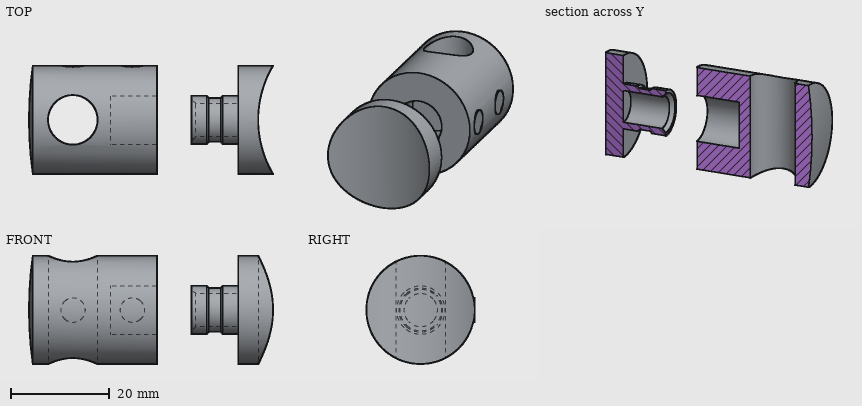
import cadquery as cq
import math

body_diameter = 22.0
body_radius = body_diameter / 2

dome_height = 0.8
housing_end_x = 26.0
cross_hole_x = 8.9
cross_hole_diameter = 10.0

pad_diameter = 4.95
rear_pad_x = 20.95

stem_start_x = 32.95
disc_start_x = 42.45
saddle_end_x = 49.55
stem_diameter = 9.8
groove_diameter = 8.9
groove_start_x = 36.55
groove_end_x = 39.35
groove_chamfer = (stem_diameter - groove_diameter) / 2
stem_bore_diameter = 6.75
bore_chamfer = 0.85
seat_depth = 3.0

stem_length = disc_start_x - stem_start_x
seat_radius = (body_radius**2 + seat_depth**2) / (2 * seat_depth)


def x_cylinder(diameter, start_x, end_x):
    """Cylinder on the X axis between two stations."""
    return cq.Workplane("YZ", origin=(start_x, 0, 0)).circle(diameter / 2).extrude(end_x - start_x)


def side_pad(x):
    """Flat-topped round pad, rooted in the solid wall between the socket and the +Y side."""
    root_y = (stem_diameter + body_diameter) / 4
    return (
        cq.Workplane("XZ", origin=(x, root_y, 0))
        .circle(pad_diameter / 2)
        .extrude(root_y - body_radius)
    )


def make_housing():
    """Domed cylinder with a cross hole, two side pads and an end socket for the stem."""
    dome_radius = (body_radius**2 + dome_height**2) / (2 * dome_height)
    half_angle = math.asin(body_radius / dome_radius) / 2
    arc_middle = (dome_radius * (1 - math.cos(half_angle)), dome_radius * math.sin(half_angle))
    housing = (
        cq.Workplane("XY")
        .moveTo(0, 0)
        .threePointArc(arc_middle, (dome_height, body_radius))
        .lineTo(housing_end_x, body_radius)
        .lineTo(housing_end_x, 0)
        .close()
        .revolve(360, (0, 0, 0), (1, 0, 0))
    )
    cross_hole = (
        cq.Workplane("XY", origin=(cross_hole_x, 0, 0))
        .circle(cross_hole_diameter / 2)
        .extrude(body_diameter, both=True)
    )
    housing = housing.cut(cross_hole)
    housing = housing.cut(x_cylinder(stem_diameter, housing_end_x - stem_length, housing_end_x))
    for pad_x in (cross_hole_x, rear_pad_x):
        housing = housing.union(side_pad(pad_x))
    return housing


def make_saddle():
    """Grooved hollow stem on a disc whose far face is a cylindrical seat."""
    stem_radius = stem_diameter / 2
    groove_radius = groove_diameter / 2
    saddle = (
        cq.Workplane("XY")
        .polyline([
            (stem_start_x, 0),
            (stem_start_x, stem_radius),
            (groove_start_x - groove_chamfer, stem_radius),
            (groove_start_x, groove_radius),
            (groove_end_x - groove_chamfer, groove_radius),
            (groove_end_x, stem_radius),
            (disc_start_x, stem_radius),
            (disc_start_x, body_radius),
            (saddle_end_x, body_radius),
            (saddle_end_x, 0),
        ])
        .close()
        .revolve(360, (0, 0, 0), (1, 0, 0))
    )
    seat_axis_x = saddle_end_x - seat_depth + seat_radius
    seat = (
        cq.Workplane("XY", origin=(seat_axis_x, 0, 0))
        .circle(seat_radius)
        .extrude(body_diameter, both=True)
    )
    stem_bore = x_cylinder(stem_bore_diameter, stem_start_x, disc_start_x)
    bore_mouth = (
        cq.Workplane("YZ", origin=(stem_start_x, 0, 0))
        .circle(stem_bore_diameter / 2 + bore_chamfer)
        .workplane(offset=bore_chamfer)
        .circle(stem_bore_diameter / 2)
        .loft()
    )
    return saddle.cut(seat).cut(stem_bore).cut(bore_mouth)


housing = make_housing()
saddle = make_saddle()
result = cq.Compound.makeCompound([housing.val(), saddle.val()])